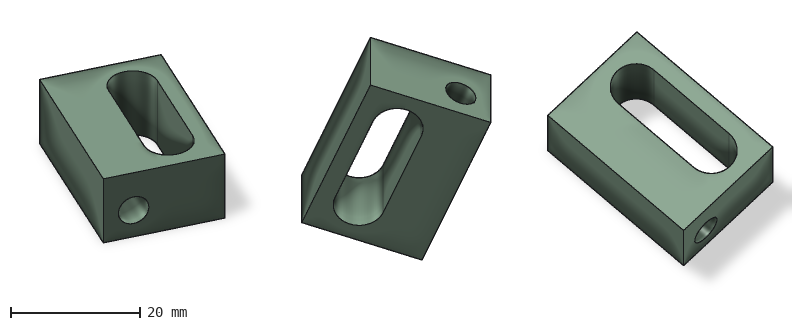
import cadquery as cq

length = 29.0
depth = 20.0
height = 12.0

slot_length = 24.0
slot_width = 8.0
slot_back_wall = 3.0
slot_center_y = depth / 2 - slot_back_wall - slot_width / 2

hole_diameter = 5.0
hole_edge_distance = 5.0
hole_center_y = -depth / 2 + hole_edge_distance
hole_center_z = -height / 2 + hole_edge_distance

block = cq.Workplane("XY").box(length, depth, height)

slot = (
    cq.Workplane("XY")
    .center(0, slot_center_y)
    .slot2D(slot_length, slot_width)
    .extrude(height / 2, both=True)
)

hole = (
    cq.Workplane("YZ")
    .center(hole_center_y, hole_center_z)
    .circle(hole_diameter / 2)
    .extrude(length / 2, both=True)
)

result = block.cut(slot).cut(hole)